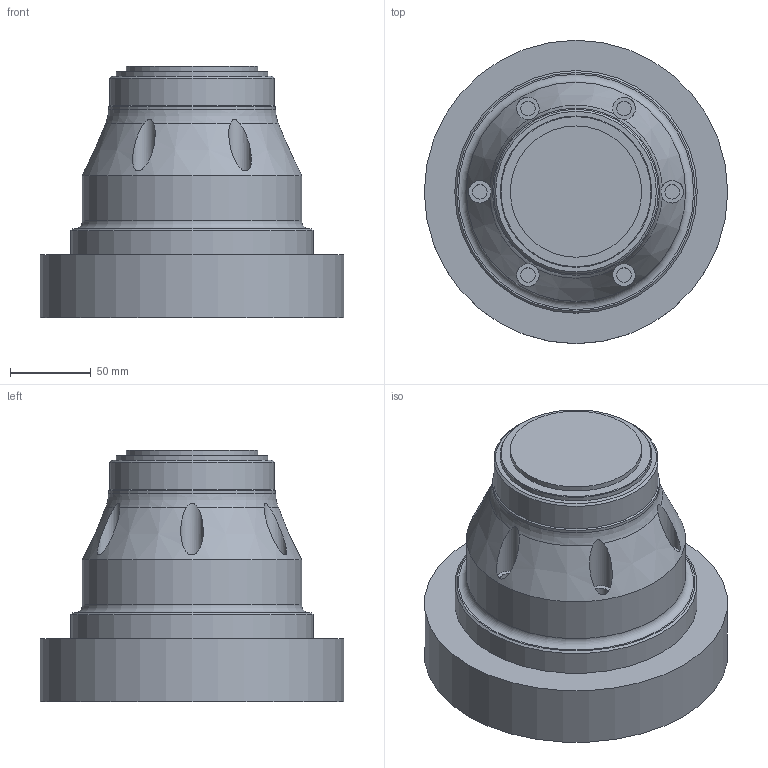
import cadquery as cq
import math

base_radius = 93.815
base_top = 39.0
collar_radius = 75.0
collar_top = 55.1
collar_chamfer = 1.2

body_radius = 67.8
body_fillet = 5.0
body_top = 88.0
shoulder_radius = 51.7
shoulder_top = 131.5
taper_height = 36.3
blend_radius = 21.0

neck_radius = 50.9
neck_top = 149.6
neck_chamfer = 1.2
shoulder_chamfer = shoulder_radius - neck_radius
disc_height = 3.13
lower_disc_radius = 46.8
lower_disc_chamfer = 0.4
upper_disc_radius = 40.6

bolt_count = 6
bolt_circle_radius = 59.5
counterbore_radius = 7.0
counterbore_floor = 88.0
bolt_hole_radius = 4.5
bolt_hole_floor = base_top


def make_turned_body():
    """Revolve the half profile about the Z axis."""
    taper_angle = math.atan2(body_radius - shoulder_radius, taper_height)
    taper_end = body_top + taper_height

    tangent_length = blend_radius * math.tan(taper_angle / 2)
    blend_start = (
        shoulder_radius + tangent_length * math.sin(taper_angle),
        taper_end - tangent_length * math.cos(taper_angle),
    )
    blend_end = (shoulder_radius, taper_end + tangent_length)
    blend_middle = (
        shoulder_radius + blend_radius * (1 - math.cos(taper_angle / 2)),
        blend_end[1] - blend_radius * math.sin(taper_angle / 2),
    )

    fillet_middle_offset = body_fillet * (1 - math.sqrt(0.5))
    fillet_middle = (body_radius + fillet_middle_offset, collar_top + fillet_middle_offset)

    lower_disc_top = neck_top + disc_height
    upper_disc_top = lower_disc_top + disc_height

    profile = (
        cq.Workplane("XZ")
        .moveTo(0, 0)
        .lineTo(base_radius, 0)
        .lineTo(base_radius, base_top)
        .lineTo(collar_radius, base_top)
        .lineTo(collar_radius, collar_top - collar_chamfer)
        .lineTo(collar_radius - collar_chamfer, collar_top)
        .lineTo(body_radius + body_fillet, collar_top)
        .threePointArc(fillet_middle, (body_radius, collar_top + body_fillet))
        .lineTo(body_radius, body_top)
        .lineTo(*blend_start)
        .threePointArc(blend_middle, blend_end)
        .lineTo(shoulder_radius, shoulder_top - shoulder_chamfer)
        .lineTo(neck_radius, shoulder_top)
        .lineTo(neck_radius, neck_top - neck_chamfer)
        .lineTo(neck_radius - neck_chamfer, neck_top)
        .lineTo(lower_disc_radius, neck_top)
        .lineTo(lower_disc_radius, lower_disc_top - lower_disc_chamfer)
        .lineTo(lower_disc_radius - lower_disc_chamfer, lower_disc_top)
        .lineTo(upper_disc_radius, lower_disc_top)
        .lineTo(upper_disc_radius, upper_disc_top)
        .lineTo(0, upper_disc_top)
        .close()
    )
    return profile.revolve(360, (0, 0, 0), (0, 1, 0))


def make_bolt_hole(angle):
    """Counterbore open through the taper, with a narrower hole below it."""
    x = bolt_circle_radius * math.cos(angle)
    y = bolt_circle_radius * math.sin(angle)
    counterbore = (
        cq.Workplane("XY", origin=(x, y, counterbore_floor))
        .circle(counterbore_radius)
        .extrude(shoulder_top - counterbore_floor)
    )
    bolt_hole = (
        cq.Workplane("XY", origin=(x, y, bolt_hole_floor))
        .circle(bolt_hole_radius)
        .extrude(counterbore_floor - bolt_hole_floor)
    )
    return counterbore.union(bolt_hole)


result = make_turned_body()
for index in range(bolt_count):
    result = result.cut(make_bolt_hole(index * 2 * math.pi / bolt_count))